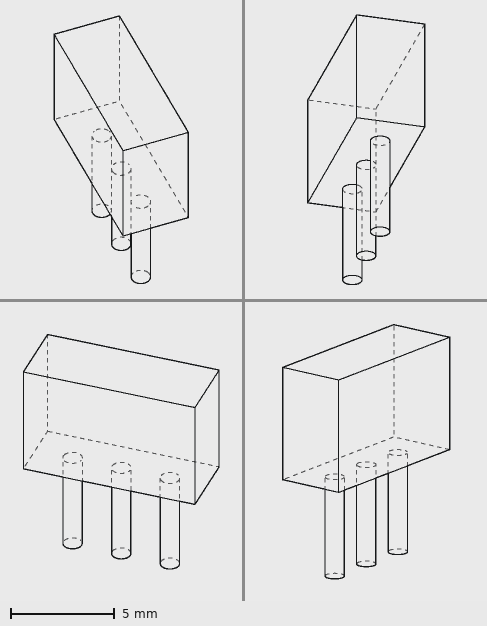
import cadquery as cq

total_height = 10.66
body_length = 8.79
body_depth = 3.4

pin_count = 3
pin_diameter = 0.94
pin_length = 5.0
pin_pitch = 2.49

body_height = total_height - pin_length


def make_body():
    """Plain rectangular block standing on the plane Z = 0."""
    return cq.Workplane("XY").box(body_length, body_depth, body_height, centered=(True, True, False))


def make_pin(x):
    """Round pin hanging down from the underside of the body."""
    return cq.Workplane("XY").center(x, 0).circle(pin_diameter / 2).extrude(-pin_length)


body = make_body()

pins = []
for index in range(pin_count):
    pin_x = (index - (pin_count - 1) / 2) * pin_pitch
    pins.append(make_pin(pin_x).val())

result = cq.Compound.makeCompound([body.val(), *pins])